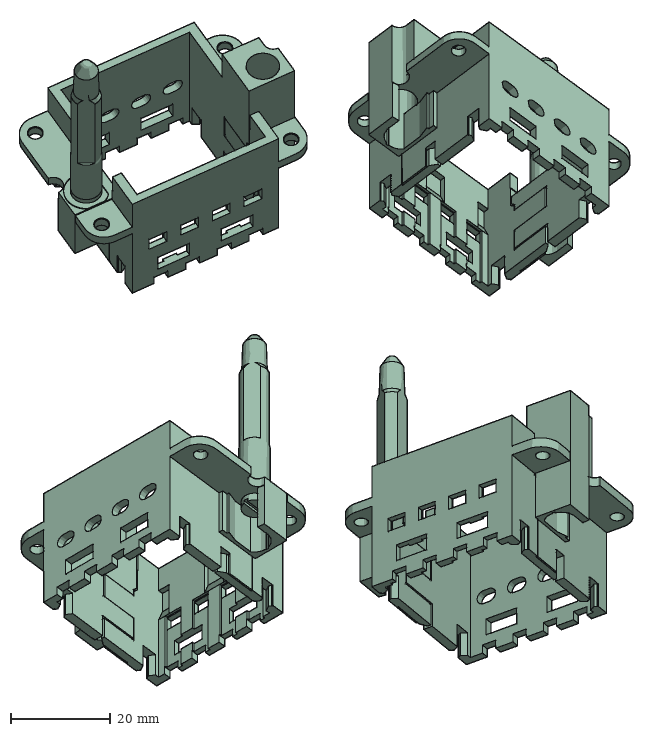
import cadquery as cq
import math

width = 34.4
box_depth = 34.0
box_height = 29.0
wall_x = 1.75
wall_y = 2.1
half_width = width / 2
half_box = box_depth / 2
inner_x = half_width - wall_x
inner_y = half_box - wall_y

flange_depth = 51.0
half_flange = flange_depth / 2
flange_bottom = 19.4
flange_top = 21.55
flange_corner = 4.5
screw_x = 13.5
screw_y = 22.0
screw_diameter = 2.9
screw_chamfer = 0.15
notch_radius = 2.05

block_left = -2.2
block_right = 8.75
block_bottom = 8.95
tower_top = 36.5
tower_step_y = 23.45
guide_x = 4.6
guide_y = 20.5
bore_radius = 3.36
bore_flat_y = 17.75
tooth_y = 17.95
tooth_right = -0.88
ridge_y = 18.5
lip_left = 1.9
lip_slant = 0.15
key_width = 0.6
key_depth = 0.15
key_offset = 0.4

gap_step_z = 24.4
gap_left_top = -2.4
gap_right = 8.95
gap_right_top = 9.1

seam_jog_top = 19.1
seam_jog_bottom = 18.2
seam_jog_gap = 0.3
seam_low_left = 7.8
seam_low_right = 8.0
lap_thickness = 1.75
lap_y = (inner_y, inner_y + lap_thickness)
tongue_end = -0.9
tongue_bottom = 10.85
tongue_top = 16.9
tongue_clearance = 0.5
arm_end = -1.1
arm_top = 5.0
arm_taper_length = 1.55
arm_taper_depth = 1.05
arm_slot_end = -1.65
comb_height = 5.4

pitch = 7.36
oval_length = 4.4
oval_height = 3.1
oval_z = 13.45
port_width = 4.1
window_width = pitch
window_bottom = 4.1
window_top = 7.9
foot_width = 3.2
foot_height = 1.95
foot_offset_y = 0.7
comb_x = 12.6
comb_width = 3.1
comb_step_width = 2.9
comb_step_depth = 0.25
comb_neck_width = 2.3
comb_neck_depth = 0.8
comb_inner_width = 3.8
middle_comb_right = 1.07

groove_width = 4.2
groove_depth = 0.5
groove_top = 15.35
pocket_width = 5.2
pocket_depth = 1.15
pocket_top = 23.1
pocket_ramp_top = 18.2

pin_height = 63.6
seat_radius = 2.7
seat_bottom = 17.6
slot_width = 1.0
slot_top = 18.3
collar_radius = 4.57
collar_top = 21.75
sleeve_radius = 3.2
seat_top = 22.9
sleeve_chamfer_z = 33.45
sleeve_top = 34.0
shaft_radius = 3.1
shaft_top = 53.2
shoulder_radius = 2.62
shoulder_z = 54.35
taper_radius = 2.44
taper_top = 60.9
nose_radius = 1.2
nose_z = 63.0
flat_distance = 2.54
flat_angles = (90, 210, 330)

overcut = 1.0


def span(x, y, z):
    """Box from its (low, high) limits on each axis."""
    lengths = [high - low for low, high in (x, y, z)]
    return cq.Workplane("XY").box(*lengths, centered=False).translate((x[0], y[0], z[0]))


def mirrored(solid):
    """The same shape on the +Y side and the -Y side."""
    return solid.union(solid.mirror("XZ"))


def disc(radius, x, y, z):
    return cq.Workplane("XY", origin=(x, y, z[0])).circle(radius).extrude(z[1] - z[0])


def xz_prism(points, y_low, y_high):
    """Prism along Y from an outline in X and Z."""
    prism = cq.Workplane("XZ").polyline(points).close().extrude(y_low - y_high)
    return prism.translate((0, y_low, 0))


def box_with_flange():
    outside = span((-half_width, half_width), (-half_box, half_box), (0, box_height))
    flange = (
        cq.Workplane("XY", origin=(0, 0, flange_bottom))
        .rect(width, flange_depth)
        .extrude(flange_top - flange_bottom)
        .edges("|Z")
        .fillet(flange_corner)
        .faces(">Z")
        .workplane()
        .rect(2 * screw_x, 2 * screw_y, forConstruction=True)
        .vertices()
        .cskHole(screw_diameter, screw_diameter + 2 * screw_chamfer, 90)
    )
    inside = span((-inner_x, inner_x), (-inner_y, inner_y), (-overcut, box_height + overcut))
    return outside.union(flange).cut(inside)


def side_openings(shell):
    """Ovals, windows and bottom notches through the two X walls."""
    reach = half_width + overcut
    across = cq.Workplane("YZ", origin=(-reach, 0, 0))
    steps = [(i - 1.5) * pitch for i in range(4)]

    ovals = across.pushPoints([(y, oval_z) for y in steps]).slot2D(oval_length, oval_height).extrude(reach)
    shell = shell.cut(ovals)
    for y in steps:
        port_y = (y - port_width / 2, y + port_width / 2)
        shell = shell.cut(span((0, reach), port_y, (oval_z - oval_height / 2, oval_z + oval_height / 2)))

    for y in (-pitch, pitch):
        window_y = (y - window_width / 2, y + window_width / 2)
        shell = shell.cut(span((-reach, reach), window_y, (window_bottom, window_top)))

    for y in steps:
        centre = y + foot_offset_y
        foot_y = (centre - foot_width / 2, centre + foot_width / 2)
        shell = shell.cut(span((-reach, reach), foot_y, (-overcut, foot_height)))
    return shell


def comb_notches(shell):
    """Bottom notches near the ends of the Y walls, waisted inside the wall."""
    right_side = [
        (comb_width / 2, half_box),
        (comb_width / 2, half_box - comb_step_depth),
        (comb_step_width / 2, half_box - comb_step_depth),
        (comb_neck_width / 2, half_box - comb_neck_depth),
        (comb_inner_width / 2, inner_y),
    ]
    left_side = [(-x, y) for x, y in reversed(right_side)]
    for x in (-comb_x, comb_x):
        notch = (
            cq.Workplane("XY", origin=(x, 0, -overcut))
            .polyline(right_side + left_side)
            .close()
            .extrude(comb_height + overcut)
        )
        shell = shell.cut(mirrored(notch))
    return shell


def snap_pockets(shell):
    """Grooves below and ramped pockets above them in the inner face of the +X wall."""
    for i in range(4):
        y = (i - 1.5) * pitch
        groove_y = (y - groove_width / 2, y + groove_width / 2)
        groove_x = (inner_x - overcut, inner_x + groove_depth)
        shell = shell.cut(span(groove_x, groove_y, (-overcut, groove_top)))

    profile = [
        (inner_x, pocket_top),
        (inner_x + pocket_depth, pocket_top),
        (inner_x + pocket_depth, pocket_ramp_top),
        (inner_x, groove_top),
    ]
    for y in (-2 * pitch, 0, 2 * pitch):
        low = max(y - pocket_width / 2, -inner_y)
        high = min(y + pocket_width / 2, inner_y)
        shell = shell.cut(xz_prism(profile, low, high))
    return shell


def socket_block():
    """Block under the +Y flange; its D-shaped bore is open towards -X."""
    block = span((block_left, block_right), (half_box, half_flange), (block_bottom, flange_bottom))
    open_x = block_left - overcut
    open_y = half_flange + overcut
    bore_end_y = guide_y + bore_radius
    flat_half = math.sqrt(bore_radius**2 - (guide_y - bore_flat_y) ** 2)
    cavity = (
        cq.Workplane("XY", origin=(0, 0, block_bottom))
        .moveTo(open_x, tooth_y)
        .lineTo(tooth_right, tooth_y)
        .lineTo(tooth_right, ridge_y)
        .lineTo(lip_left, bore_flat_y)
        .lineTo(guide_x + flat_half, bore_flat_y)
        .threePointArc((guide_x + bore_radius, guide_y), (guide_x, bore_end_y))
        .lineTo(lip_left - lip_slant, bore_end_y)
        .lineTo(lip_left + lip_slant, open_y)
        .lineTo(open_x, open_y)
        .close()
        .extrude(flange_bottom - block_bottom)
    )
    keyway = span(
        (guide_x, guide_x + bore_radius + key_depth),
        (guide_y + key_offset - key_width / 2, guide_y + key_offset + key_width / 2),
        (block_bottom, flange_bottom),
    )
    return block.cut(cavity).cut(keyway)


def guide_tower():
    tower = span((block_left, block_right), (inner_y, half_flange), (flange_bottom, tower_top))
    step = span((block_left, 0), (tower_step_y, half_flange), (flange_top, tower_top))
    return tower.cut(step)


def left_zone():
    """Everything on the -X side of the seam."""
    outline = [
        (-half_width, 0),
        (seam_low_left, 0),
        (seam_low_left, seam_jog_bottom + seam_jog_gap),
        (block_right, seam_jog_top + seam_jog_gap),
        (block_right, box_height),
        (-half_width, box_height),
    ]
    return xz_prism(outline, -half_flange, half_flange)


def right_zone():
    """Everything on the +X side of the seam."""
    outline = [
        (half_width, 0),
        (seam_low_right, 0),
        (seam_low_right, seam_jog_bottom),
        (gap_right, seam_jog_top),
        (gap_right, gap_step_z),
        (gap_right_top, gap_step_z),
        (gap_right_top, box_height),
        (half_width, box_height),
    ]
    return xz_prism(outline, -half_flange, half_flange)


def lap_arms():
    """Upper tongues and tapered lower arms that reach into the left half."""
    tongue = span((tongue_end, seam_low_right), lap_y, (tongue_bottom, tongue_top))
    arm = (
        cq.Workplane("XY")
        .polyline([
            (arm_end, inner_y),
            (seam_low_right, inner_y),
            (seam_low_right, lap_y[1]),
            (arm_end + arm_taper_length, lap_y[1]),
            (arm_end, lap_y[1] - arm_taper_depth),
        ])
        .close()
        .extrude(arm_top)
    )
    return mirrored(tongue.union(arm))


def lap_recesses():
    """Room for the arms in the walls of the left half."""
    tongue_room = span((tongue_end - tongue_clearance, block_right), lap_y, (tongue_bottom, tongue_top))
    arm_room = span((arm_slot_end, block_right), lap_y, (0, comb_height))
    notch = span((arm_slot_end, middle_comb_right), (inner_y, half_box), (0, comb_height))
    return mirrored(tongue_room.union(arm_room).union(notch))


def make_left_frame(shell):
    frame = shell.intersect(left_zone()).cut(lap_recesses())
    front = (-half_box, -inner_y)
    frame = frame.cut(span((block_left, half_width), front, (flange_top, box_height)))
    frame = frame.cut(span((gap_left_top, half_width), front, (gap_step_z, box_height)))
    frame = frame.union(guide_tower()).union(mirrored(socket_block()))
    edge_notch = disc(notch_radius, 0, half_flange, (flange_bottom, tower_top))
    frame = frame.cut(mirrored(edge_notch))
    frame = frame.cut(disc(bore_radius, guide_x, guide_y, (flange_bottom, tower_top)))
    return frame.cut(disc(seat_radius, guide_x, -guide_y, (flange_bottom, flange_top)))


def make_right_frame(shell):
    return shell.intersect(right_zone()).union(lap_arms())


def make_pin_seat():
    shank = disc(seat_radius, guide_x, -guide_y, (seat_bottom, flange_top))
    slot_x = (guide_x - collar_radius, guide_x + collar_radius)
    slot_y = (-guide_y - slot_width / 2, -guide_y + slot_width / 2)
    shank = shank.cut(span(slot_x, slot_y, (seat_bottom, slot_top)))
    collar = disc(collar_radius, guide_x, -guide_y, (flange_top, collar_top))
    collar = collar.intersect(span((-half_width, block_right), (-half_flange, -half_box), (0, pin_height)))
    neck = disc(sleeve_radius, guide_x, -guide_y, (collar_top, seat_top))
    return shank.union(collar).union(neck)


def make_pin():
    sleeve = (
        cq.Workplane("XZ")
        .polyline([
            (0, seat_top),
            (sleeve_radius, seat_top),
            (sleeve_radius, sleeve_chamfer_z),
            (shaft_radius, sleeve_top),
            (0, sleeve_top),
        ])
        .close()
        .revolve(360, (0, 0), (0, 1))
    )
    cap_height = pin_height - nose_z
    cap_radius = (nose_radius**2 + cap_height**2) / (2 * cap_height)
    half_angle = math.asin(nose_radius / cap_radius) / 2
    cap_middle = (
        cap_radius * math.sin(half_angle),
        pin_height - cap_radius * (1 - math.cos(half_angle)),
    )
    shaft = (
        cq.Workplane("XZ")
        .moveTo(0, sleeve_top)
        .lineTo(shaft_radius, sleeve_top)
        .lineTo(shaft_radius, shaft_top)
        .lineTo(shoulder_radius, shoulder_z)
        .lineTo(taper_radius, taper_top)
        .lineTo(nose_radius, nose_z)
        .threePointArc(cap_middle, (0, pin_height))
        .close()
        .revolve(360, (0, 0), (0, 1))
    )
    beyond_flat = span(
        (flat_distance, 2 * shaft_radius), (-shaft_radius, shaft_radius), (sleeve_top, pin_height)
    )
    for angle in flat_angles:
        shaft = shaft.cut(beyond_flat.rotate((0, 0, 0), (0, 0, 1), angle))
    return sleeve.union(shaft).translate((guide_x, -guide_y, 0))


frame_shell = snap_pockets(comb_notches(side_openings(box_with_flange())))
left_frame = make_left_frame(frame_shell)
right_frame = make_right_frame(frame_shell)
pin_seat = make_pin_seat()
pin = make_pin()

bodies = [left_frame, right_frame, pin_seat, pin]
result = cq.Compound.makeCompound([body.solids().val() for body in bodies])